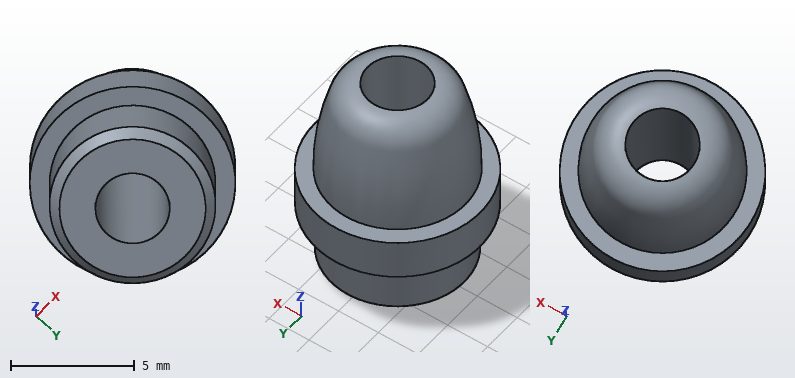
import cadquery as cq
import math

flange_bottom = 3
flange_top = 5
nose_mid_height = 7
shoulder_height = 8.9
total_height = 10

bore_radius = 3 / 2
spigot_radius = 6.7 / 2
flange_radius = 8.3 / 2
nose_base_radius = 3.4
nose_mid_radius = 3.27
shoulder_radius = 2.84

spigot_chamfer = 0.4

tip_width = shoulder_radius - bore_radius
tip_drop = total_height - shoulder_height
tip_arc_radius = (tip_width**2 + tip_drop**2) / (2 * tip_drop)
tip_half_angle = math.atan2(tip_drop, tip_width)
tip_mid_radius = bore_radius + tip_arc_radius * math.sin(tip_half_angle)
tip_mid_height = total_height - tip_arc_radius * (1 - math.cos(tip_half_angle))

half_section = (
    cq.Workplane("XZ")
    .moveTo(bore_radius, 0)
    .lineTo(spigot_radius - spigot_chamfer, 0)
    .lineTo(spigot_radius, spigot_chamfer)
    .lineTo(spigot_radius, flange_bottom)
    .lineTo(flange_radius, flange_bottom)
    .lineTo(flange_radius, flange_top)
    .lineTo(nose_base_radius, flange_top)
    .threePointArc((nose_mid_radius, nose_mid_height), (shoulder_radius, shoulder_height))
    .threePointArc((tip_mid_radius, tip_mid_height), (bore_radius, total_height))
    .close()
)

result = half_section.revolve(360, (0, 0, 0), (0, 1, 0))